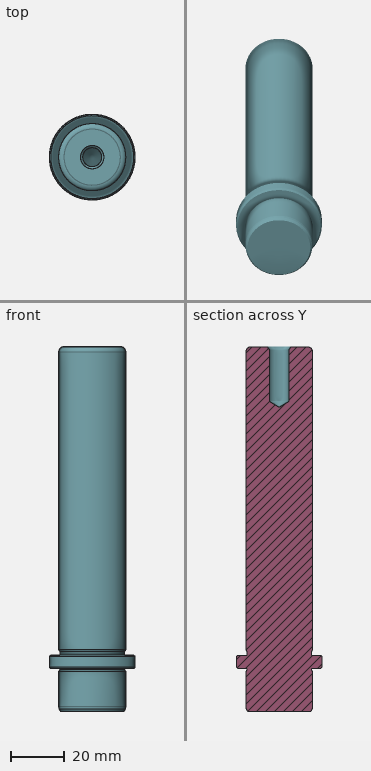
import cadquery as cq
import math

total_length = 136.0
shaft_radius = 12.5
collar_radius = 15.98
collar_bottom = 16.0
collar_height = 5.0
collar_chamfer = 0.5
groove_depth = 0.4
upper_groove_width = 2.0
lower_groove_width = 1.1
groove_slope_height = 0.7
top_fillet = 2.0

lead_in_start = 1.9
lead_in_depth = 0.1
end_chamfer_height = 1.0
end_chamfer_depth = 0.7

hole_radius = 3.5
hole_mouth_radius = 4.4
hole_mouth_depth = 1.2
hole_depth = 20.4
drill_point_angle = 118.0

collar_top = collar_bottom + collar_height
groove_radius = shaft_radius - groove_depth
lower_groove_start = collar_bottom - lower_groove_width
upper_groove_end = collar_top + upper_groove_width
lead_in_radius = shaft_radius - lead_in_depth
fillet_middle = top_fillet * math.sqrt(0.5)
fillet_center_radius = shaft_radius - top_fillet
fillet_center_height = total_length - top_fillet


def make_pin():
    """Revolve the outer half profile, drawn as (radius, height), about Z."""
    profile = (
        cq.Workplane("XZ")
        .lineTo(lead_in_radius - end_chamfer_depth, 0)
        .lineTo(lead_in_radius, end_chamfer_height)
        .lineTo(shaft_radius, lead_in_start)
        .lineTo(shaft_radius, lower_groove_start)
        .lineTo(groove_radius, lower_groove_start + groove_slope_height)
        .lineTo(groove_radius, collar_bottom)
        .lineTo(collar_radius - collar_chamfer, collar_bottom)
        .lineTo(collar_radius, collar_bottom + collar_chamfer)
        .lineTo(collar_radius, collar_top - collar_chamfer)
        .lineTo(collar_radius - collar_chamfer, collar_top)
        .lineTo(groove_radius, collar_top)
        .lineTo(groove_radius, upper_groove_end - groove_slope_height)
        .lineTo(shaft_radius, upper_groove_end)
        .lineTo(shaft_radius, fillet_center_height)
        .threePointArc(
            (fillet_center_radius + fillet_middle, fillet_center_height + fillet_middle),
            (fillet_center_radius, total_length),
        )
        .lineTo(0, total_length)
        .close()
    )
    return profile.revolve(360, (0, 0), (0, 1))


def make_hole():
    """Drilled hole with a countersunk mouth and a conical bottom."""
    point_height = hole_radius / math.tan(math.radians(drill_point_angle / 2))
    cone_start = total_length - hole_depth
    profile = (
        cq.Workplane("XZ")
        .moveTo(0, total_length)
        .lineTo(hole_mouth_radius, total_length)
        .lineTo(hole_radius, total_length - hole_mouth_depth)
        .lineTo(hole_radius, cone_start)
        .lineTo(0, cone_start - point_height)
        .close()
    )
    return profile.revolve(360, (0, 0), (0, 1))


result = make_pin().cut(make_hole())